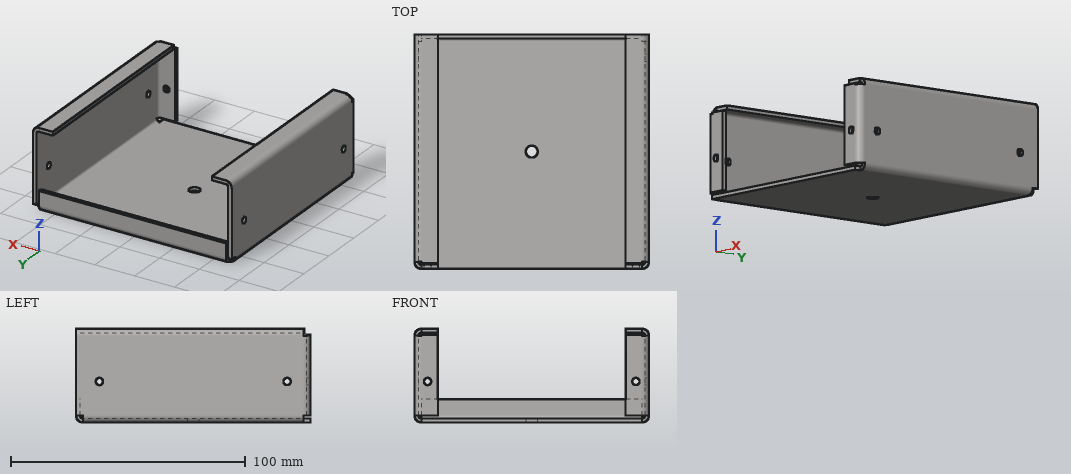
import cadquery as cq
import math

length = 100.0
width = 100.0
height = 40.0
sheet = 1.8
bend_radius = 3.0
lip_width = 10.0
rear_height = 10.0
flange_overhang = 0.5
screw_diameter = 3.0
center_diameter = 5.0
screw_height = 17.5
front_screw_inset = 5.6
side_screw_spacing = 80.0

half_x = length / 2
half_y = width / 2
flat_x = half_x - bend_radius
flat_y = half_y - bend_radius
wall_top = height - bend_radius


def block(x_range, y_range, z_range):
    """Box spanning three coordinate ranges."""
    ranges = (x_range, y_range, z_range)
    sizes = [high - low for low, high in ranges]
    lows = [low for low, high in ranges]
    return cq.Workplane("XY").box(*sizes, centered=False).translate(tuple(lows))


def bend(start, axis, first_leg, run):
    """Quarter-round bend sweeping from first_leg to the direction axis x first_leg."""
    inner = bend_radius - sheet
    diagonal = math.sqrt(0.5)
    plane = cq.Plane(origin=start, xDir=first_leg, normal=axis)
    return (
        cq.Workplane(plane)
        .moveTo(bend_radius, 0)
        .threePointArc((bend_radius * diagonal, bend_radius * diagonal), (0, bend_radius))
        .lineTo(0, inner)
        .threePointArc((inner * diagonal, inner * diagonal), (inner, 0))
        .close()
        .extrude(run)
    )


def left_side():
    """Side wall with its floor bend, top lip and front flange."""
    wall = block((-half_x, -half_x + sheet), (-flat_y, half_y), (bend_radius, wall_top))
    floor_bend = bend((-flat_x, -flat_y, bend_radius), (0, 1, 0), (0, 0, -1), 2 * flat_y)
    lip_bend = bend((-flat_x, -flat_y, wall_top), (0, 1, 0), (-1, 0, 0), half_y + flat_y)
    front_bend = bend((-flat_x, -flat_y, bend_radius), (0, 0, 1), (-1, 0, 0), wall_top - bend_radius)
    lip_inner = -half_x + lip_width
    lip = block((-flat_x, lip_inner), (-flat_y - flange_overhang, half_y), (height - sheet, height))
    flange = block(
        (-flat_x, lip_inner),
        (-half_y, -half_y + sheet),
        (bend_radius, wall_top + flange_overhang),
    )
    return wall.union(floor_bend).union(lip_bend).union(front_bend).union(lip).union(flange)


def floor():
    return block((-flat_x, flat_x), (-half_y, flat_y), (0, sheet))


def rear_flange():
    wall = block((-flat_x, flat_x), (half_y - sheet, half_y), (bend_radius, rear_height))
    return wall.union(bend((-flat_x, flat_y, bend_radius), (1, 0, 0), (0, 0, -1), 2 * flat_x))


def hole_along_x(y):
    return (
        cq.Workplane("YZ", origin=(-half_x, y, screw_height))
        .circle(screw_diameter / 2)
        .extrude(length)
    )


def hole_along_y(x):
    """Hole through a front flange only."""
    return (
        cq.Workplane("XZ", origin=(x, -half_y + bend_radius, screw_height))
        .circle(screw_diameter / 2)
        .extrude(bend_radius)
    )


side = left_side()
result = floor().union(rear_flange()).union(side).union(side.mirror("YZ"))

for direction in (-1, 1):
    result = result.cut(hole_along_x(direction * side_screw_spacing / 2))
    result = result.cut(hole_along_y(direction * (half_x - front_screw_inset)))

result = result.cut(cq.Workplane("XY").circle(center_diameter / 2).extrude(sheet))